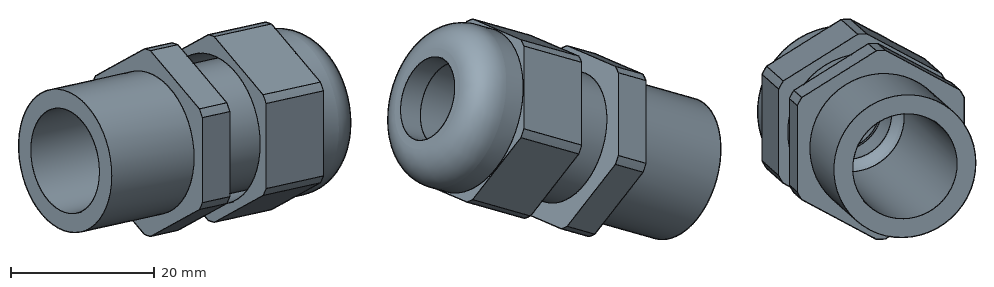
import cadquery as cq


across_flats = 24.0
across_corners = 27.0

tube_diameter = 20.4
tube_length = 15.0
flange_back = 20.0
neck_diameter = 18.9
neck_end = 37.0
body_bore = 15.0
seat_diameter = 16.5
seat_depth = 4.0

cap_front = 26.6
cap_hex_back = neck_end
overall_length = 44.6
dome_diameter = 23.7
dome_radius = 4.6
cavity_diameter = 21.4
cavity_end = 41.05
cap_hole = 12.0

seal_front = neck_end - seat_depth
funnel_mouth = 14.35
funnel_throat = 13.0
seal_bore = 12.5
lead_in_depth = 0.65
funnel_depth = 1.2
throat_depth = 0.55


def cylinder(diameter, start, end):
    """Cylinder along Y between two stations."""
    return cq.Workplane("XZ", origin=(0, start, 0)).circle(diameter / 2).extrude(start - end)


def rounded_hexagon(start, end):
    """Hexagonal prism along Y with flats facing +X and -X and its corners rounded by a cylinder."""
    prism = (
        cq.Workplane("XZ", origin=(0, start, 0))
        .polygon(6, across_flats, circumscribed=True)
        .extrude(start - end)
    )
    return prism.intersect(cylinder(across_corners, start, end))


def make_body():
    """Tube, hexagon flange and neck with a through bore and a seat for the sealing ring."""
    tube = cylinder(tube_diameter, 0, tube_length)
    flange = rounded_hexagon(tube_length, flange_back)
    neck = cylinder(neck_diameter, flange_back, neck_end)
    bore = cylinder(body_bore, 0, neck_end)
    seat = cylinder(seat_diameter, seal_front, neck_end)
    return tube.union(flange).union(neck).cut(bore).cut(seat)


def make_cap():
    """Hexagon and rounded dome, hollowed from the front, with a cable hole in the end wall."""
    hexagon = rounded_hexagon(cap_front, cap_hex_back)
    dome = cylinder(dome_diameter, cap_hex_back, overall_length).faces(">Y").edges().fillet(dome_radius)
    cavity = cylinder(cavity_diameter, cap_front, cavity_end)
    hole = cylinder(cap_hole, cavity_end, overall_length)
    return hexagon.union(dome).cut(cavity).cut(hole)


def make_seal():
    """Ring seated in the neck and pressed against the end wall of the cap."""
    funnel_start = seal_front + lead_in_depth
    funnel_end = funnel_start + funnel_depth
    throat_end = funnel_end + throat_depth
    half_section = [
        (seat_diameter / 2, seal_front),
        (body_bore / 2, seal_front),
        (funnel_mouth / 2, funnel_start),
        (funnel_throat / 2, funnel_end),
        (seal_bore / 2, throat_end),
        (seal_bore / 2, cavity_end),
        (seat_diameter / 2, cavity_end),
    ]
    return cq.Workplane("XY").polyline(half_section).close().revolve(360, (0, 0, 0), (0, 1, 0))


body = make_body()
cap = make_cap()
seal = make_seal()

result = cq.Compound.makeCompound([body.solids().val(), cap.solids().val(), seal.val()])